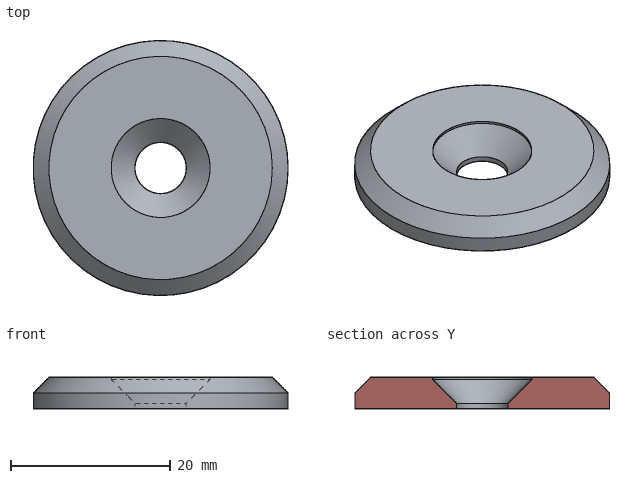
import cadquery as cq

disc_diameter = 32.0
thickness = 4.0
edge_chamfer = 2.0

hole_diameter = 6.4
countersink_diameter = 12.4
head_recess_depth = 0.3
cone_depth = (countersink_diameter - hole_diameter) / 2


def make_disc():
    """Round disc with its top rim chamfered at 45 degrees."""
    disc = cq.Workplane("XY").circle(disc_diameter / 2).extrude(thickness)
    return disc.faces(">Z").edges().chamfer(edge_chamfer)


def make_screw_hole():
    """Through hole, cone and head recess as one revolved cutter."""
    hole_radius = hole_diameter / 2
    head_radius = countersink_diameter / 2
    cone_top = thickness - head_recess_depth
    cone_bottom = cone_top - cone_depth
    half_profile = (
        cq.Workplane("XZ")
        .moveTo(0, 0)
        .lineTo(hole_radius, 0)
        .lineTo(hole_radius, cone_bottom)
        .lineTo(head_radius, cone_top)
        .lineTo(head_radius, thickness)
        .lineTo(0, thickness)
        .close()
    )
    return half_profile.revolve(360, (0, 0, 0), (0, 1, 0))


result = make_disc().cut(make_screw_hole())